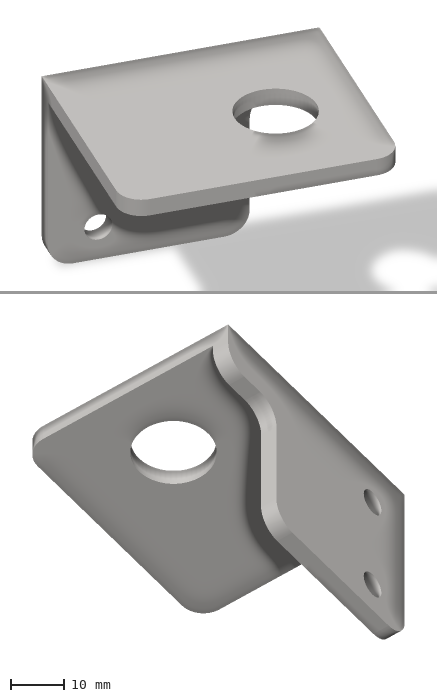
import cadquery as cq

length_x = 48.5
width_y = 55.0
height_z = 40.0
thickness = 3.6
corner_radius = 5.0

large_hole_diameter = 16.2
large_hole_x = 26.0
large_hole_y = width_y - 17.5

notch_width = 15.0
strip_height = 10.0

mount_hole_diameter = 5.5
mount_hole_y = 10.0
lower_hole_z = 7.0
mount_hole_spacing = 22.5


def make_horizontal_plate():
    """Top plate with rounded free corners and the large hole."""
    plate = (
        cq.Workplane("XY", origin=(0, 0, height_z - thickness))
        .rect(length_x, width_y, centered=False)
        .extrude(thickness)
        .edges("|Z and >X")
        .fillet(corner_radius)
    )
    hole = (
        cq.Workplane("XY")
        .center(large_hole_x, large_hole_y)
        .circle(large_hole_diameter / 2)
        .extrude(height_z)
    )
    return plate.cut(hole)


def make_vertical_plate():
    """Stepped side plate, rounded everywhere except along the top edge."""
    step_y = width_y - notch_width
    step_z = height_z - strip_height
    plate = (
        cq.Workplane("YZ")
        .moveTo(0, 0)
        .lineTo(step_y, 0)
        .lineTo(step_y, step_z)
        .lineTo(width_y, step_z)
        .lineTo(width_y, height_z)
        .lineTo(0, height_z)
        .close()
        .extrude(thickness)
        .edges("|X")
        .edges("not >Z")
        .fillet(corner_radius)
    )
    holes = (
        cq.Workplane("YZ")
        .pushPoints([(mount_hole_y, lower_hole_z + i * mount_hole_spacing) for i in range(2)])
        .circle(mount_hole_diameter / 2)
        .extrude(thickness)
    )
    return plate.cut(holes)


result = make_horizontal_plate().union(make_vertical_plate())